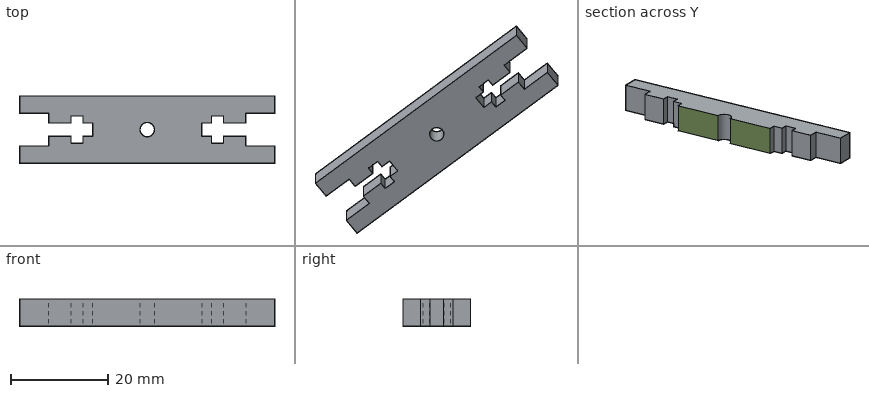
import cadquery as cq

length = 52.5
width = 13.9
thickness = 5.64
center_hole_diameter = 2.9

mouth_depth = 6.0
mouth_width = 6.7
screw_slot_depth = 15.0
screw_slot_width = 2.7
nut_pocket_start = 10.6
nut_pocket_length = 2.4
nut_pocket_width = 5.6


def end_cut(side, start, cut_length, cut_width):
    """Rectangular through cut on the X axis at the end given by side (-1 or +1)."""
    center_x = side * (length / 2 - start - cut_length / 2)
    return cq.Workplane("XY").box(cut_length, cut_width, thickness).translate((center_x, 0, 0))


def end_slot(side):
    """Open mouth, screw slot and crosswise nut pocket of one T-slot joint."""
    mouth = end_cut(side, 0, mouth_depth, mouth_width)
    screw_slot = end_cut(side, 0, screw_slot_depth, screw_slot_width)
    nut_pocket = end_cut(side, nut_pocket_start, nut_pocket_length, nut_pocket_width)
    return mouth.union(screw_slot).union(nut_pocket)


bar = cq.Workplane("XY").box(length, width, thickness)
bar = bar.faces(">Z").workplane().hole(center_hole_diameter)
for end_side in (-1, 1):
    bar = bar.cut(end_slot(end_side))

result = bar